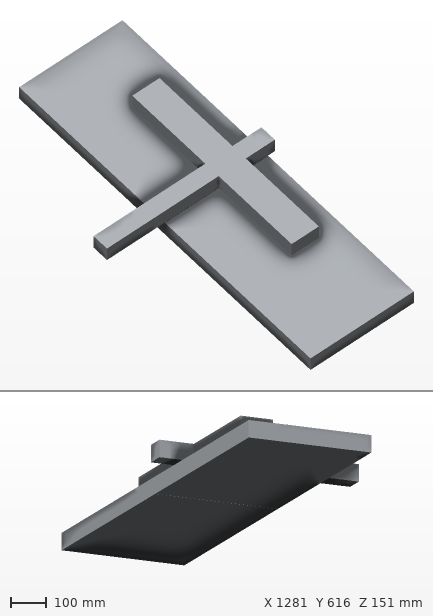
import cadquery as cq

total_length = 1281.0
total_depth = 616.0
total_height = 151.0

panel_gap = 1.0
panel_depth = 379.0
thickness = 51.0
panel_length = (total_length - panel_gap) / 2

stem_width = 59.0
arm_span = 700.0
arm_width = 100.0
arm_setback = 106.0
cross_bottom = total_height - thickness


def box_from_back(width, depth, back_y, bottom_z):
    """Box centred on X, reaching forward (-Y) from back_y."""
    return (
        cq.Workplane("XY")
        .box(width, depth, thickness, centered=(True, False, False))
        .translate((0, back_y - depth, bottom_z))
    )


def make_panel(side):
    """One panel; side is -1 for the -X panel and +1 for the +X panel."""
    centre_x = side * (panel_gap + panel_length) / 2
    return box_from_back(panel_length, panel_depth, 0, 0).translate((centre_x, 0, 0))


def make_cross():
    """Long stem running along Y, crossed by a wider arm along X."""
    stem = box_from_back(stem_width, total_depth, 0, cross_bottom)
    arm = box_from_back(arm_span, arm_width, -arm_setback, cross_bottom)
    return stem.union(arm)


panels = [make_panel(side) for side in (-1, 1)]
cross = make_cross()

result = cq.Compound.makeCompound([*[panel.val() for panel in panels], cross.val()])